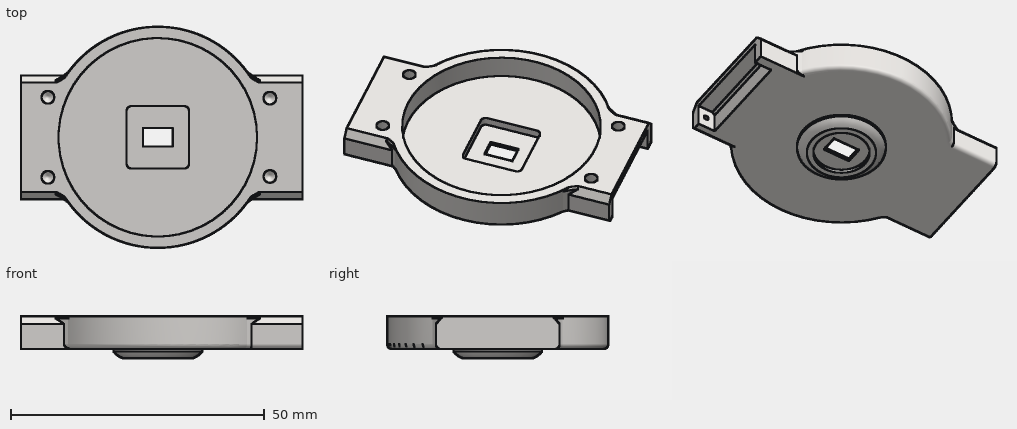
import cadquery as cq

body_diameter = 43.6
body_height = 6.5
body_bottom_fillet = 1.0
bowl_diameter = 39.1
bowl_depth = 5.0
bowl_floor = body_height - bowl_depth

total_height = 8.3
boss_diameter = 17.55
boss_height = total_height - body_height
boss_straight_height = 0.45
boss_edge_middle = (7.95, -1.3)
boss_bottom_diameter = 13.65

hollow_diameter = 11.1
hollow_top = -1.0

recess_side = 12.3
recess_corner = 1.0
recess_bottom = -0.35
slot_length = 5.8
slot_width = 3.6

total_length = 55.5
left_end = -27.0
right_end = left_end + total_length
arm_width = 24.4
arm_half = arm_width / 2
arm_top_chamfer_drop = 1.55
arm_top_chamfer_inset = 1.4
left_bottom_chamfer = 0.55

web_start = (21.75, 10.5)
web_middle = (18.5, arm_half)
web_end = (16.75, 13.6)
web_top_chamfer = 0.45
web_inner_corner = (15.8, 8.3)

notch_length = 3.8
notch_width = 20.3
notch_roof = body_height - 1.5
notch_roof_chamfer = 0.55

pin_diameter = 1.0
pin_depth = 1.1
pin_from_end = 1.8
pin_z = 2.65

screw_diameter = 2.5
screw_depth = 3.35
screw_tip = 0.7
left_screws = (-21.65, 7.9)
right_screws = (22.1, 7.7)


def make_body():
    return (
        cq.Workplane("XY").circle(body_diameter / 2).extrude(body_height)
        .faces("<Z").edges().fillet(body_bottom_fillet)
    )


def make_boss():
    """Boss with a rounded lower edge, reaching up to the bowl floor to join the body."""
    radius = boss_diameter / 2
    return (
        cq.Workplane("XZ").moveTo(0, bowl_floor).lineTo(radius, bowl_floor)
        .lineTo(radius, -boss_straight_height)
        .threePointArc(boss_edge_middle, (boss_bottom_diameter / 2, -boss_height))
        .lineTo(0, -boss_height).close().revolve(360, (0, 0), (0, 1))
    )


def make_arm(end_x):
    """Bar from the body centre to end_x with sloped top edges."""
    top_half = arm_half - arm_top_chamfer_inset
    shoulder = body_height - arm_top_chamfer_drop
    return (
        cq.Workplane("YZ")
        .polyline([
            (-arm_half, 0), (arm_half, 0), (arm_half, shoulder),
            (top_half, body_height), (-top_half, body_height), (-arm_half, shoulder),
        ])
        .close().extrude(end_x)
    )


def make_web():
    """Web at the +X +Y corner of the body."""
    return (
        cq.Workplane("XY").moveTo(*web_inner_corner).lineTo(*web_start)
        .threePointArc(web_middle, web_end).close()
        .extrude(body_height)
        .faces(">Z").edges("%CIRCLE").chamfer(web_top_chamfer)
        .faces("<Z").edges("%CIRCLE").fillet(body_bottom_fillet)
    )


def make_notch():
    """Opening under the left arm; its roof meets the inner wall in a chamfer."""
    inner_x = left_end + notch_length
    return (
        cq.Workplane("XZ")
        .polyline([
            (left_end, 0), (inner_x, 0),
            (inner_x, notch_roof - notch_roof_chamfer), (inner_x - notch_roof_chamfer, notch_roof),
            (left_end, notch_roof),
        ])
        .close().extrude(notch_width / 2, both=True)
    )


def make_pin_holes():
    """One rod across the notch that leaves a blind hole in both side walls."""
    return (
        cq.Workplane("XZ").center(left_end + pin_from_end, pin_z)
        .circle(pin_diameter / 2).extrude(notch_width / 2 + pin_depth, both=True)
    )


def make_screw_hole(x, y):
    radius = screw_diameter / 2
    profile = [(0, 0), (radius, 0), (radius, -screw_depth), (0, -screw_depth - screw_tip)]
    return (
        cq.Workplane("XZ").polyline(profile).close().revolve(360, (0, 0), (0, 1))
        .translate((x, y, body_height))
    )


left_arm = make_arm(left_end).edges("|X and <Z and >Y").chamfer(left_bottom_chamfer)
right_arm = make_arm(right_end).edges("|X and <Z").fillet(body_bottom_fillet)

result = make_body().union(left_arm).union(right_arm)
web = make_web()
for web_side in (web, web.mirror("YZ")):
    result = result.union(web_side).union(web_side.mirror("XZ"))
result = result.union(make_boss())

result = result.cut(
    cq.Workplane("XY").workplane(offset=bowl_floor).circle(bowl_diameter / 2).extrude(bowl_depth)
)
result = result.cut(
    cq.Workplane("XY").workplane(offset=recess_bottom).rect(recess_side, recess_side)
    .extrude(bowl_floor - recess_bottom).edges("|Z").fillet(recess_corner)
)
result = result.cut(
    cq.Workplane("XY").workplane(offset=-boss_height).rect(slot_length, slot_width).extrude(total_height)
)
result = result.cut(
    cq.Workplane("XY").workplane(offset=-boss_height).circle(hollow_diameter / 2)
    .extrude(hollow_top + boss_height)
)

result = result.cut(make_notch()).cut(make_pin_holes())
for screw_x, half_spacing in (left_screws, right_screws):
    for side in (-1, 1):
        result = result.cut(make_screw_hole(screw_x, side * half_spacing))